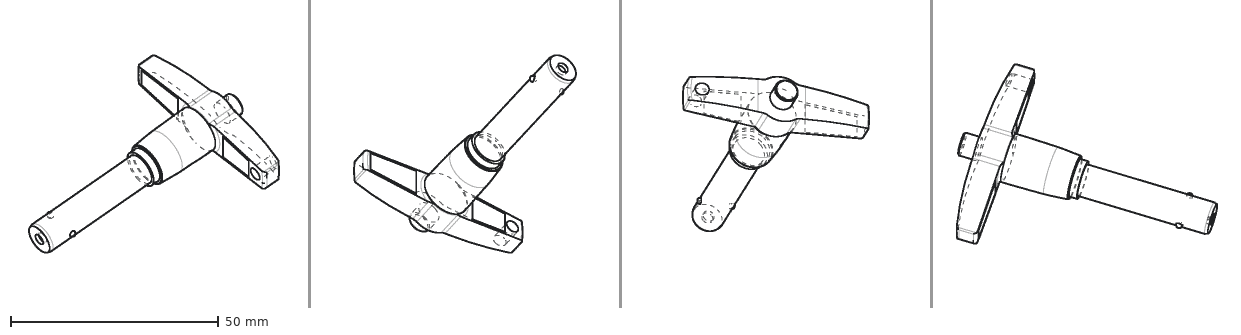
import cadquery as cq
import math


shank_radius = 8.0 / 2
shank_length = 32.9
shank_chamfer_length = 0.8
shank_chamfer_depth = 0.25
tip_bore_diameter = 2.77
tip_bore_depth = 1.0
ball_radius = 0.8
ball_reach = 9.52 / 2
ball_from_tip = 7.15

collar_radius = 9.52 / 2
collar_length = 1.95
barrel_end_radius = 5.5
barrel_break_radius = 5.95
barrel_top_radius = 6.12
barrel_bulge = 0.04
barrel_end_chamfer = 0.2
barrel_break_y = 8.1
cove_radius = 0.7

handle_length = 45.96
handle_front_y = 19.5
handle_back_y = 26.45
hub_radius = 12.35 / 2
hub_blend_radius = 2.4
wing_root_x = 4.7
wing_root_half_height = 4.68
wing_tip_half_height = 3.2
wing_end_bulge = 0.8
wing_end_edge_radius = 0.8
wing_end_side_radius = 0.45
wing_trim_allowance = 1.0
back_curve_start_x = 6.0
back_curve_drop = 1.9
lanyard_hole_diameter = 3.3
lanyard_hole_x = 19.63

pad_height = 0.12
pad_inner_x = 8.1
pad_inset = 0.55
left_pad_outer_x = 21.25
right_pad_outer_x = 17.4

button_radius = 5.8 / 2
button_end_y = 30.8
button_chamfer = 0.3

handle_tip_x = handle_length / 2
wing_slope = (wing_root_half_height - wing_tip_half_height) / (handle_tip_x - wing_root_x)
tip_y = -shank_length


def wing_half_height(x):
    """Half height (Z) of the tapered wing at a distance x from the pin axis."""
    return wing_root_half_height - wing_slope * (abs(x) - wing_root_x)


def prism(sketch, y_start, y_end):
    """Extrude a workplane profile, drawn in XZ at Y = 0, from y_start to y_end."""
    return sketch.extrude(-(y_end - y_start)).translate((0, y_start, 0))


def make_shaft():
    """Shank, collar, barrel and button as one turned profile (radius, y)."""
    break_to_top = (
        (barrel_break_radius + barrel_top_radius) / 2 + barrel_bulge,
        (barrel_break_y + handle_front_y) / 2,
    )
    end_to_break = (
        (barrel_end_radius + barrel_break_radius) / 2 + barrel_bulge,
        (collar_length + barrel_end_chamfer + barrel_break_y) / 2,
    )
    profile = (
        cq.Workplane("XY")
        .moveTo(0, tip_y)
        .lineTo(shank_radius - shank_chamfer_depth, tip_y)
        .lineTo(shank_radius, tip_y + shank_chamfer_length)
        .lineTo(shank_radius, 0)
        .lineTo(collar_radius, 0)
        .lineTo(collar_radius, collar_length)
        .lineTo(barrel_end_radius - barrel_end_chamfer, collar_length)
        .lineTo(barrel_end_radius, collar_length + barrel_end_chamfer)
        .threePointArc(end_to_break, (barrel_break_radius, barrel_break_y))
        .threePointArc(break_to_top, (barrel_top_radius, handle_front_y))
        .lineTo(button_radius, handle_front_y)
        .lineTo(button_radius, button_end_y - button_chamfer)
        .lineTo(button_radius - button_chamfer, button_end_y)
        .lineTo(0, button_end_y)
        .close()
    )
    return profile.revolve(360, (0, 0, 0), (0, 1, 0))


def make_handle_outline(y_start, y_end):
    """Round hub with two tapered wings, overlong in X, seen along the pin axis."""
    overlong_x = handle_tip_x + wing_trim_allowance
    tip_z = wing_half_height(overlong_x)
    root_z = wing_half_height(0)
    wings = cq.Workplane("XZ").polyline(
        [
            (0, root_z),
            (overlong_x, tip_z),
            (overlong_x, -tip_z),
            (0, -root_z),
            (-overlong_x, -tip_z),
            (-overlong_x, tip_z),
        ]
    ).close()
    hub = cq.Workplane("XZ").circle(hub_radius)
    outline = prism(wings, y_start, y_end).union(prism(hub, y_start, y_end))
    root = cq.selectors.BoxSelector(
        (-hub_radius, y_start, -hub_radius), (hub_radius, y_end, hub_radius)
    )
    return outline.edges("|Y").edges(root).fillet(hub_blend_radius)


def make_bowed_slab():
    """Slab as tall as the hub whose two X ends bow outwards."""
    corner_x = handle_tip_x - wing_end_bulge
    bowed_ends = (
        cq.Workplane("XZ")
        .moveTo(corner_x, hub_radius)
        .threePointArc((handle_tip_x, 0), (corner_x, -hub_radius))
        .lineTo(-corner_x, -hub_radius)
        .threePointArc((-handle_tip_x, 0), (-corner_x, hub_radius))
        .close()
    )
    return prism(bowed_ends, handle_front_y, handle_back_y)


def make_handle_side():
    """Block with the curved back and the bowed, rounded ends of the handle."""
    run = handle_tip_x - back_curve_start_x
    back_radius = (run**2 + back_curve_drop**2) / (2 * back_curve_drop)
    half_angle = math.asin(run / back_radius) / 2
    mid_x = back_curve_start_x + back_radius * math.sin(half_angle)
    mid_y = handle_back_y - back_radius * (1 - math.cos(half_angle))
    end_y = handle_back_y - back_curve_drop
    side_profile = (
        cq.Workplane("XY")
        .moveTo(-handle_tip_x, handle_front_y)
        .lineTo(handle_tip_x, handle_front_y)
        .lineTo(handle_tip_x, end_y)
        .threePointArc((mid_x, mid_y), (back_curve_start_x, handle_back_y))
        .lineTo(-back_curve_start_x, handle_back_y)
        .threePointArc((-mid_x, mid_y), (-handle_tip_x, end_y))
        .close()
        .extrude(hub_radius, both=True)
    )
    block = side_profile.intersect(make_bowed_slab())
    for end in ("<X", ">X"):
        block = block.faces(end).edges("not |Y").fillet(wing_end_edge_radius)
    return block


def make_handle():
    outline = make_handle_outline(handle_front_y, handle_back_y).intersect(make_bowed_slab())
    for end in ("<X", ">X"):
        outline = outline.faces(end).edges("|Y").fillet(wing_end_side_radius)
    return outline.intersect(make_handle_side())


def make_cove():
    """Concave blend from the barrel to the handle front, trimmed by the handle outline."""
    ring = (
        cq.Workplane("XY")
        .moveTo(0, handle_front_y)
        .lineTo(barrel_top_radius + cove_radius, handle_front_y)
        .radiusArc((barrel_top_radius, handle_front_y - cove_radius), -cove_radius)
        .lineTo(0, handle_front_y - cove_radius)
        .close()
        .revolve(360, (0, 0, 0), (0, 1, 0))
    )
    return ring.intersect(make_handle_outline(handle_front_y - cove_radius, handle_front_y))


def make_pad(inner_x, outer_x):
    """Tapered pad standing proud of the wing front, inset from the wing sides."""
    inner_z = wing_half_height(inner_x) - pad_inset
    outer_z = wing_half_height(outer_x) - pad_inset
    outline = cq.Workplane("XZ").polyline(
        [(inner_x, inner_z), (outer_x, outer_z), (outer_x, -outer_z), (inner_x, -inner_z)]
    ).close()
    return prism(outline, handle_front_y - pad_height, handle_front_y)


def make_balls():
    """Two locking balls sunk into opposite sides of the shank."""
    center_x = ball_reach - ball_radius
    return (
        cq.Workplane("XY")
        .pushPoints([(-center_x, tip_y + ball_from_tip), (center_x, tip_y + ball_from_tip)])
        .sphere(ball_radius)
    )


def make_lanyard_hole():
    hole = cq.Workplane("XZ").center(lanyard_hole_x, 0).circle(lanyard_hole_diameter / 2)
    return prism(hole, handle_front_y, handle_back_y)


def make_tip_bore():
    bore = cq.Workplane("XZ").circle(tip_bore_diameter / 2)
    return prism(bore, tip_y, tip_y + tip_bore_depth)


result = (
    make_shaft()
    .union(make_handle())
    .union(make_cove())
    .union(make_pad(-pad_inner_x, -left_pad_outer_x))
    .union(make_pad(pad_inner_x, right_pad_outer_x))
    .union(make_balls())
    .cut(make_lanyard_hole())
    .cut(make_tip_bore())
)